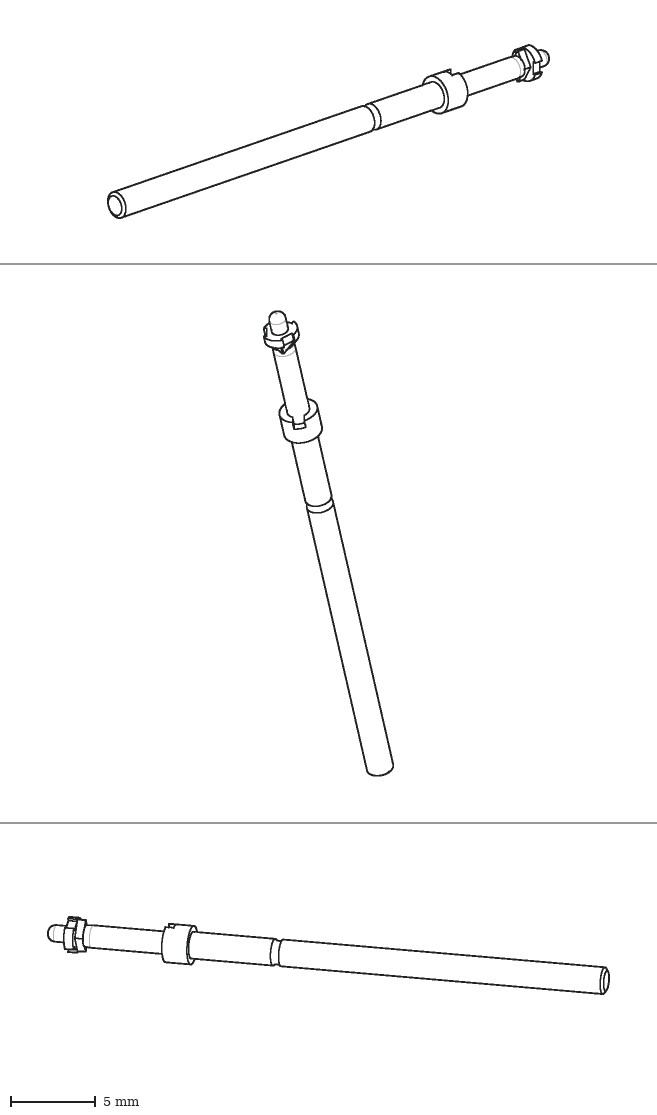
import cadquery as cq
import math


pin_length = 1.25
flange_length = 0.55
key_length = 0.5
taper_length = 0.4
plunger_length = 4.6
collar_length = 1.55
total_length = 34.3

pin_diameter = 1.0
flange_diameter = 2.1
key_diameter = 1.96
plunger_diameter = 1.35
taper_tip_diameter = 1.29
collar_diameter = 2.3
barrel_diameter = 1.6

tip_radius = 0.44
flange_notch_floor = 0.8
flange_notch_width = 0.75
flange_notch_count = 3
key_half_width = 0.6
key_corner_angle = 60
notch_width = 0.7
notch_depth = 0.5
groove_center_behind_collar = 5.28
groove_length = 0.5
groove_depth = 0.1
tail_chamfer_length = 0.15
tail_chamfer_height = 0.2

collar_front = 0
collar_back = collar_front - collar_length
taper_back = collar_front + plunger_length
key_back = taper_back + taper_length
flange_back = key_back + key_length
pin_back = flange_back + flange_length
tip = pin_back + pin_length
tail = tip - total_length
groove_center = collar_back - groove_center_behind_collar


def extrude_along_axis(section, start, length):
    """Extrude a section, drawn as (X, Z), from start towards +Y."""
    return section.extrude(-length).translate((0, start, 0))


def disc(diameter, start, length):
    return extrude_along_axis(cq.Workplane("XZ").circle(diameter / 2), start, length)


def make_pin():
    """Contact pin with a rounded tip, rooted in the flange."""
    pin = disc(pin_diameter, flange_back, tip - flange_back)
    return pin.faces(">Y").edges().fillet(tip_radius)


def make_flange():
    """Round flange with equally spaced notches in its rim, one of them facing +X."""
    flange = disc(flange_diameter, flange_back, flange_length)
    notch_center_x = flange_notch_floor + flange_diameter / 2
    notch = cq.Workplane("XY").box(flange_diameter, 2 * flange_length, flange_notch_width)
    notch = notch.translate((notch_center_x, flange_back + flange_length / 2, 0))
    for index in range(flange_notch_count):
        angle = index * 360 / flange_notch_count
        flange = flange.cut(notch.rotate((0, 0, 0), (0, 1, 0), angle))
    return flange


def make_key():
    """Diamond-shaped key whose sharp corners, at +Z and -Z, are rounded off by a cylinder."""
    half_height = key_half_width / math.tan(math.radians(key_corner_angle / 2))
    diamond = cq.Workplane("XZ").polyline([
        (key_half_width, 0),
        (0, half_height),
        (-key_half_width, 0),
        (0, -half_height),
    ]).close()
    prism = extrude_along_axis(diamond, key_back, key_length)
    return prism.intersect(disc(key_diameter, key_back, key_length))


def make_plunger():
    """Plunger shaft, running into the collar and tapering slightly towards the key."""
    shaft = disc(plunger_diameter, collar_back, taper_back - collar_back)
    taper = (
        cq.Workplane("XY")
        .moveTo(0, taper_back)
        .lineTo(plunger_diameter / 2, taper_back)
        .lineTo(taper_tip_diameter / 2, key_back)
        .lineTo(0, key_back)
        .close()
        .revolve(360, (0, 0, 0), (0, 1, 0))
    )
    return shaft.union(taper)


def make_collar():
    """Collar with a notch across its front face, open at +Z and -Z."""
    collar = disc(collar_diameter, collar_back, collar_length)
    notch = cq.Workplane("XY").box(notch_width, 2 * notch_depth, 2 * collar_diameter)
    return collar.cut(notch.translate((0, collar_front, 0)))


def make_barrel():
    """Barrel with a rounded ring groove and a chamfered tail."""
    radius = barrel_diameter / 2
    profile = (
        cq.Workplane("XY")
        .moveTo(0, collar_back)
        .lineTo(radius, collar_back)
        .lineTo(radius, groove_center + groove_length / 2)
        .threePointArc((radius - groove_depth, groove_center), (radius, groove_center - groove_length / 2))
        .lineTo(radius, tail + tail_chamfer_length)
        .lineTo(radius - tail_chamfer_height, tail)
        .lineTo(0, tail)
        .close()
    )
    return profile.revolve(360, (0, 0, 0), (0, 1, 0))


result = (
    make_barrel()
    .union(make_collar())
    .union(make_plunger())
    .union(make_key())
    .union(make_flange())
    .union(make_pin())
)